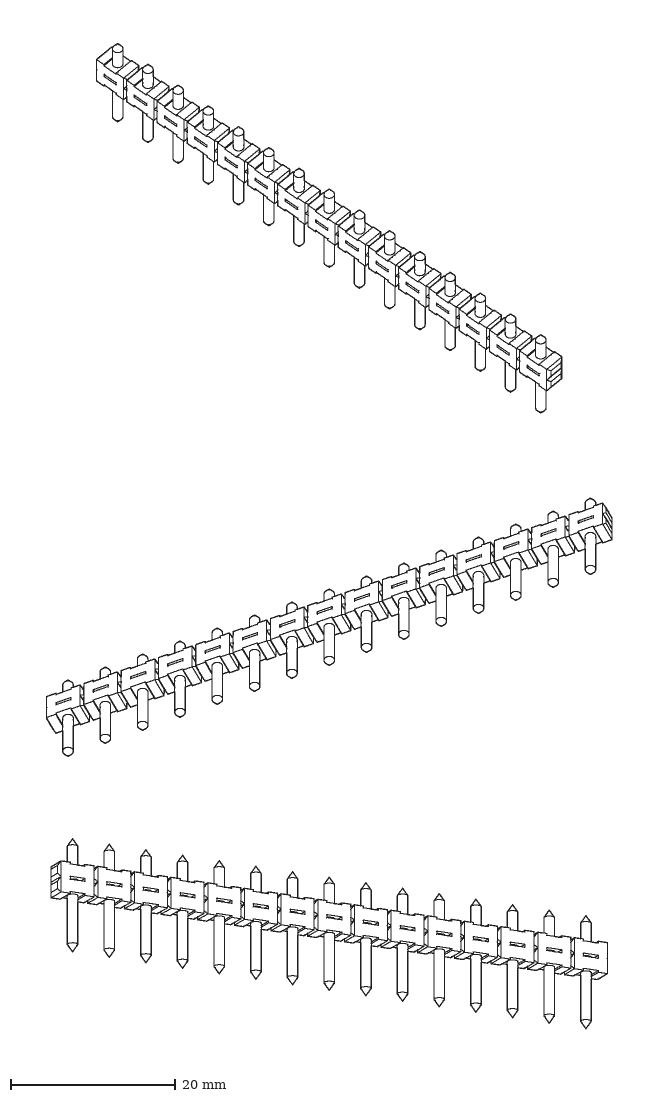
import cadquery as cq

pin_count = 15
row_length = 75.0
pitch = row_length / pin_count

body_depth = 2.8
body_height = 4.0
knob_length = 0.25
knob_inset = 0.5
block_length = pitch - 2 * knob_length
knob_height = body_height / 2
relief_width = 2.0
relief_depth = 0.2
slot_width = 2.0
slot_height = 0.4

pin_radius = 0.65
pin_above = 3.5
pin_below = 7.0
tip_length = 1.0


def make_knob(side, center_z):
    """Tapered knob on one end (side = -1 or 1) of the block, ending at the module boundary."""
    base = cq.Workplane("YZ", origin=(side * block_length / 2, 0, center_z)).rect(body_depth, knob_height)
    face = base.workplane(offset=side * knob_length).rect(
        body_depth - 2 * knob_inset, knob_height - 2 * knob_inset
    )
    return face.loft(combine=True)


def make_housing():
    """Block with two stacked knobs on each end, pin channels and a through window."""
    housing = cq.Workplane("XY").box(block_length, body_depth, body_height)
    for side in (-1, 1):
        for level in (-1, 1):
            housing = housing.union(make_knob(side, level * knob_height / 2))
    for level in (-1, 1):
        channel_z = level * (body_height - relief_depth) / 2
        channel = cq.Workplane("XY").box(relief_width, body_depth, relief_depth)
        housing = housing.cut(channel.translate((0, 0, channel_z)))
    window = cq.Workplane("XY").box(slot_width, body_depth, slot_height)
    return housing.cut(window)


def make_pin():
    """Round pin with a conical point at both ends."""
    top = body_height / 2 + pin_above
    bottom = -body_height / 2 - pin_below
    outline = [
        (0, bottom),
        (pin_radius, bottom + tip_length),
        (pin_radius, top - tip_length),
        (0, top),
    ]
    return cq.Workplane("XZ").polyline(outline).close().revolve(360, (0, 0), (0, 1))


module = make_housing().union(make_pin())

result = module
for index in range(1, pin_count):
    result = result.union(module.translate((index * pitch, 0, 0)))
result = result.translate(((pitch - row_length) / 2, 0, 0))